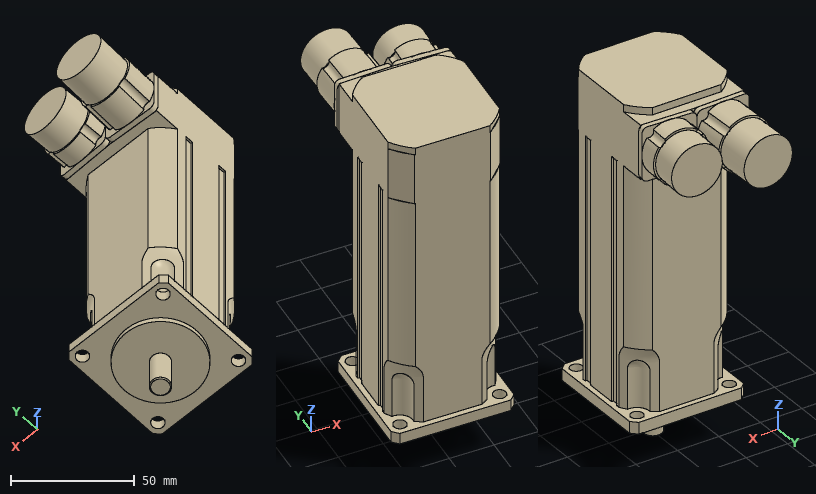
import cadquery as cq
import math

flange_width = 55.0
flange_thickness = 5.6
flange_corner = 2.7
bolt_offset = 22.3
bolt_hole_diameter = 5.8

pilot_diameter = 40.0
pilot_height = 2.7
shaft_diameter = 9.0
shaft_length = 20.4
shaft_chamfer = 0.5

overall_length = 170.0
motor_top = overall_length - shaft_length
body_width = 50.0
body_round_diameter = 60.0

relief_radius = 28.2
relief_top = flange_thickness + 30.1
relief_straight_top = flange_thickness + 23.1

slot_radius = 6.0
slot_straight_top = flange_thickness + 18.9

groove_width = 3.7
groove_depth = 0.8
groove_offset = 9.7

head_height = 25.5
head_top = motor_top - 3.4
head_bottom = head_top - head_height
head_back = 30.0
head_corner = 8.0
connector_tilt = 2.0
tilt_angle = math.radians(connector_tilt)

base_diameter = 26.0
barrel_diameter = 24.0
plate_height = head_height
plate_thickness = 2.5
plate_corner_radius = 2.5
axis_offset = (base_diameter / 2 - plate_thickness * math.sin(tilt_angle)) / math.cos(tilt_angle)
plate_width = 2 * axis_offset
flute_radius = 2.2
flute_center_radius = 13.6
power_base_length = 15.1
power_barrel_length = 16.3
signal_base_length = 9.0
signal_barrel_length = 12.4


def cylinder(diameter, bottom, height):
    return cq.Workplane("XY").workplane(offset=bottom).circle(diameter / 2).extrude(height)


def corner_points(offset):
    return [(x, y) for x in (-offset, offset) for y in (-offset, offset)]


def make_flange():
    flange = (
        cq.Workplane("XY")
        .rect(flange_width, flange_width)
        .extrude(flange_thickness)
        .edges("|Z")
        .chamfer(flange_corner)
    )
    return flange.faces(">Z").workplane().pushPoints(corner_points(bolt_offset)).hole(bolt_hole_diameter)


def make_pilot_and_shaft():
    pilot = cylinder(pilot_diameter, -pilot_height, pilot_height)
    shaft = cylinder(shaft_diameter, -shaft_length, shaft_length)
    return pilot.union(shaft.faces("<Z").chamfer(shaft_chamfer))


def make_corner_relief():
    """Ring that cuts the body corners back, with a concave arc running out at its top."""
    body_radius = body_round_diameter / 2
    depth = body_radius - relief_radius
    runout_height = relief_top - relief_straight_top
    arc_radius = (runout_height**2 + depth**2) / (2 * depth)
    half_angle = math.asin(runout_height / arc_radius) / 2
    arc_middle = (
        relief_radius + arc_radius * (1 - math.cos(half_angle)),
        relief_straight_top + arc_radius * math.sin(half_angle),
    )
    outside = body_width
    return (
        cq.Workplane("XZ")
        .moveTo(relief_radius, flange_thickness)
        .lineTo(relief_radius, relief_straight_top)
        .threePointArc(arc_middle, (body_radius, relief_top))
        .lineTo(outside, relief_top)
        .lineTo(outside, flange_thickness)
        .close()
        .revolve(360, (0, 0, 0), (0, 1, 0))
    )


def make_bolt_slots():
    straight_height = slot_straight_top - flange_thickness
    places = corner_points(bolt_offset)
    slots = cq.Workplane("XY").workplane(offset=flange_thickness).pushPoints(places)
    slots = slots.circle(slot_radius).extrude(straight_height)
    domes = cq.Workplane("XY").workplane(offset=slot_straight_top).pushPoints(places).sphere(slot_radius)
    return slots.union(domes)


def make_side_grooves():
    places = [(x, y) for x in (-body_width / 2, body_width / 2) for y in (-groove_offset, groove_offset)]
    return (
        cq.Workplane("XY")
        .workplane(offset=flange_thickness)
        .pushPoints(places)
        .rect(2 * groove_depth, groove_width)
        .extrude(head_bottom - flange_thickness)
    )


def rounded_square(bottom, top):
    """Square of the body width with its corners rounded about the shaft axis."""
    height = top - bottom
    square = cq.Workplane("XY").workplane(offset=bottom).rect(body_width, body_width).extrude(height)
    return square.intersect(cylinder(body_round_diameter, bottom, height))


def make_body():
    body = rounded_square(flange_thickness, head_bottom)
    return body.cut(make_corner_relief()).cut(make_bolt_slots()).cut(make_side_grooves())


def make_head():
    """Block with flat front corners and a shallow ridge between two leaning back faces, under a low cap."""
    half = body_width / 2
    side_back = head_back - half * math.tan(tilt_angle)
    outline = [
        (-half + head_corner, -half),
        (half - head_corner, -half),
        (half, -half + head_corner),
        (half, side_back),
        (0, head_back),
        (-half, side_back),
        (-half, -half + head_corner),
    ]
    block = cq.Workplane("XY").workplane(offset=head_bottom).polyline(outline).close().extrude(head_height)
    cap = rounded_square(head_top, motor_top)
    return block.union(cap)


def make_motor():
    return make_flange().union(make_pilot_and_shaft()).union(make_body()).union(make_head())


def make_connector(side, base_length, barrel_length):
    """Plate, fluted base and barrel on one back face; side is -1 or +1 along X."""
    plate = (
        cq.Workplane("XY")
        .rect(plate_width, plate_height)
        .extrude(plate_thickness)
        .edges("|Z")
        .fillet(plate_corner_radius)
    )
    flutes = (
        cq.Workplane("XY")
        .workplane(offset=plate_thickness)
        .polarArray(flute_center_radius, 45, 360, 4)
        .circle(flute_radius)
        .extrude(base_length)
    )
    base = cylinder(base_diameter, plate_thickness, base_length).cut(flutes)
    barrel = cylinder(barrel_diameter, plate_thickness + base_length, barrel_length)
    connector = plate.union(base).union(barrel)

    connector = connector.rotate((0, 0, 0), (1, 0, 0), -90)
    connector = connector.translate((side * axis_offset, 0, 0))
    connector = connector.rotate((0, 0, 0), (0, 0, 1), -side * connector_tilt)
    return connector.translate((0, head_back, head_bottom + head_height / 2))


motor = make_motor()

connectors = []
for side, base_length, barrel_length in (
    (-1, power_base_length, power_barrel_length),
    (1, signal_base_length, signal_barrel_length),
):
    connectors.append(make_connector(side, base_length, barrel_length).val())

result = cq.Compound.makeCompound([motor.val(), *connectors])